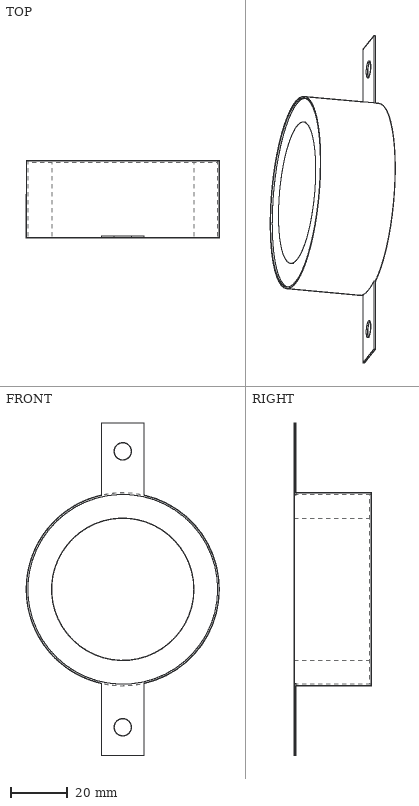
import cadquery as cq


shell_length = 27.2
shell_diameter = 68.0
sheet_thickness = 0.6
bore_diameter = 50.0
tab_span = 117.12
tab_width = 15.0
tab_hole_diameter = 6.0
tab_hole_edge_distance = 10.0

shell_radius = shell_diameter / 2
lining_radius = shell_radius - sheet_thickness
lining_length = shell_length - sheet_thickness
bore_radius = bore_diameter / 2
tab_hole_height = tab_span / 2 - tab_hole_edge_distance


def cylinder_along_y(radius, length):
    """Solid cylinder on the Y axis from the front face to the given depth."""
    return cq.Workplane("XZ").circle(radius).extrude(-length)


def make_shell():
    """Sheet metal sleeve with a flat drilled tab above and below its front edge."""
    tabs = cq.Workplane("XZ").rect(tab_width, tab_span).extrude(-sheet_thickness)
    tab_holes = (
        cq.Workplane("XZ")
        .pushPoints([(0, tab_hole_height), (0, -tab_hole_height)])
        .circle(tab_hole_diameter / 2)
        .extrude(-sheet_thickness)
    )
    sleeve = cylinder_along_y(shell_radius, shell_length)
    lining_space = cylinder_along_y(lining_radius, shell_length)
    return sleeve.union(tabs).cut(tab_holes).cut(lining_space)


def make_lining():
    """Thick ring that fills the shell and stops one sheet thickness short of its rear edge."""
    ring = cylinder_along_y(lining_radius, lining_length)
    return ring.cut(cylinder_along_y(bore_radius, lining_length))


shell = make_shell()
lining = make_lining()

result = cq.Compound.makeCompound([shell.val(), lining.val()])